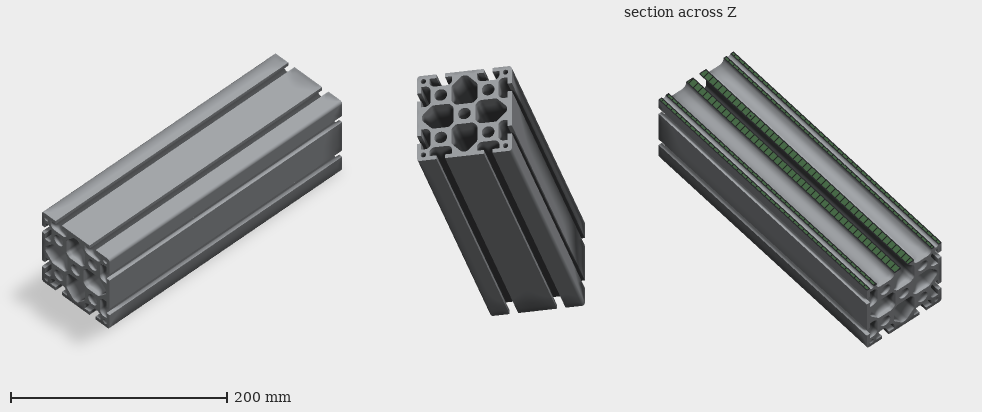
import cadquery as cq

side = 90.0
length = 300.0
corner_radius = 3.0
half = side / 2

slot_offset = side / 4
slot_opening = 8.2
slot_width = 21.4
lip_thickness = 4.0
slot_depth = 12.8
slot_bevel = 3.0
slot_bevel_rounding = 5.0

core_bore_diameter = 12.0
corner_bore_diameter = 5.0
corner_bore_offset = 39.0

chamber_width = 24.6
chamber_inner = 10.5
chamber_outer = 40.3
chamber_tip_width = 5.0
chamber_bevel = 4.0
chamber_rounding = 4.0

QUARTER_TURNS = (0, 90, 180, 270)


def section():
    """Workplane of the profile: X to the right, Z up, extruding toward -Y from the far end."""
    return cq.Workplane("XZ", origin=(0, length, 0))


def around_axis(cutter):
    """Union of the cutter repeated on all four faces."""
    copies = cq.Workplane("XY")
    for angle in QUARTER_TURNS:
        copies = copies.add(cutter.rotate((0, 0, 0), (0, 1, 0), angle))
    return copies.combine()


def outer_bar():
    """Solid square bar with rounded long edges."""
    return section().rect(side, side).extrude(length).edges("|Y").fillet(corner_radius)


def t_slot(center_x):
    """T-slot cutter in the top face: narrow opening over a wide groove with rounded bevels."""
    groove_height = slot_depth - lip_thickness
    groove_center_z = half - lip_thickness - groove_height / 2
    groove = (
        section()
        .center(center_x, groove_center_z)
        .rect(slot_width, groove_height)
        .extrude(length)
        .edges("|Y and <Z")
        .chamfer(slot_bevel)
        .edges("|Y and (not >Z)")
        .fillet(slot_bevel_rounding)
    )
    opening = (
        section()
        .center(center_x, half - lip_thickness / 2)
        .rect(slot_opening, lip_thickness)
        .extrude(length)
    )
    return groove.union(opening)


def chamber():
    """Hollow above the core: bevelled inner end, 45 degree gable with a flat tip."""
    half_width = chamber_width / 2
    tip_half_width = chamber_tip_width / 2
    shoulder = chamber_outer - (half_width - tip_half_width)
    body = (
        section()
        .moveTo(-half_width + chamber_bevel, chamber_inner)
        .lineTo(half_width - chamber_bevel, chamber_inner)
        .lineTo(half_width, chamber_inner + chamber_bevel)
        .lineTo(half_width, shoulder)
        .lineTo(tip_half_width, chamber_outer)
        .lineTo(-tip_half_width, chamber_outer)
        .lineTo(-half_width, shoulder)
        .lineTo(-half_width, chamber_inner + chamber_bevel)
        .close()
        .extrude(length)
    )
    return body.edges("|Y").fillet(chamber_rounding)


def bores():
    """Core bores at the centre and behind each slot crossing, plus small bores in the corners."""
    core_centers = [(0, 0)]
    corner_centers = []
    for x_sign in (-1, 1):
        for z_sign in (-1, 1):
            core_centers.append((x_sign * slot_offset, z_sign * slot_offset))
            corner_centers.append((x_sign * corner_bore_offset, z_sign * corner_bore_offset))
    core = section().pushPoints(core_centers).circle(core_bore_diameter / 2).extrude(length)
    corner = section().pushPoints(corner_centers).circle(corner_bore_diameter / 2).extrude(length)
    return core.add(corner).combine()


result = outer_bar().cut(bores()).cut(around_axis(chamber()))
for slot_x in (-slot_offset, slot_offset):
    result = result.cut(around_axis(t_slot(slot_x)))